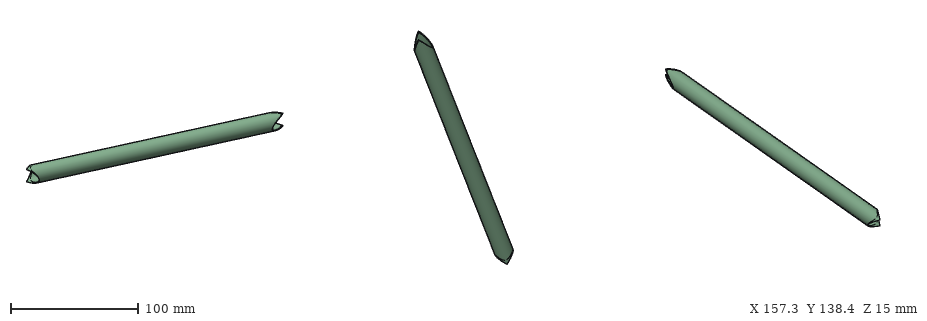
import cadquery as cq
import math

span_x = 157.34
span_y = 138.42
tube_diameter = 15.0
wall = 0.75

saddle_radius = 10.0

rim_tip_setback = 3.6
rim_steps = 12

tube_radius = tube_diameter / 2
bore_radius = tube_radius - wall
axis_length = math.hypot(span_x, span_y)
overrun = 2 * tube_diameter
saddle_setback = math.sqrt(saddle_radius**2 - tube_radius**2)

tube_plane = cq.Plane(origin=(0, 0, 0), xDir=(-span_y, span_x, 0), normal=(span_x, span_y, 0))

slope_left = span_y / span_x
slope_right = span_x / span_y


def make_tube():
    """Straight tube along the diagonal, longer than the part at both ends."""
    profile = cq.Workplane(tube_plane).workplane(offset=-overrun).circle(tube_radius).circle(bore_radius)
    return profile.extrude(axis_length + 2 * overrun)


def rim_edges(side):
    """Edges bounding one half of the beveled rim, carried past both walls; side is 1 (left) or -1 (right)."""
    slope = slope_left if side > 0 else slope_right
    outside = []
    inside = []
    for step in range(rim_steps + 1):
        angle = math.pi * step / rim_steps
        sideways = side * math.sin(angle)
        upward = math.cos(angle)
        outer_depth = slope * tube_radius * abs(sideways)
        inner_depth = math.hypot(rim_tip_setback, slope * bore_radius * sideways)
        bevel = inner_depth - outer_depth
        for points, radius, depth in (
            (outside, tube_radius + wall, outer_depth - bevel),
            (inside, bore_radius - wall, inner_depth + bevel),
        ):
            points.append(tube_plane.toWorldCoords((radius * sideways, radius * upward, depth)))
    parameters = [step / rim_steps for step in range(rim_steps + 1)]
    return [cq.Edge.makeSpline(points, parameters=parameters) for points in (outside, inside)]


def make_rim_surface():
    """Ring-shaped ruled surface that trims the near end."""
    halves = [cq.Face.makeRuledSurface(*rim_edges(side)) for side in (1, -1)]
    return cq.Shell.makeShell(halves)


def make_saddle_cutter(plane_name, center_distance, length):
    """Horizontal cylinder that touches the tip at the top and bottom of the tube."""
    return cq.Workplane(plane_name).center(center_distance, 0).circle(saddle_radius).extrude(length)


def trim_far_end(tube):
    """Cut both saddles and drop the spare tube beyond the tip."""
    along_y = make_saddle_cutter("XZ", span_x + saddle_setback, -(span_y + overrun))
    along_x = make_saddle_cutter("YZ", span_y + saddle_setback, span_x + overrun)
    block = cq.Workplane("XY").box(2 * span_x, 2 * span_y, 2 * tube_diameter)
    return tube.intersect(block).cut(along_y).cut(along_x)


pieces = trim_far_end(make_tube()).split(make_rim_surface())
result = pieces.solids(">X")